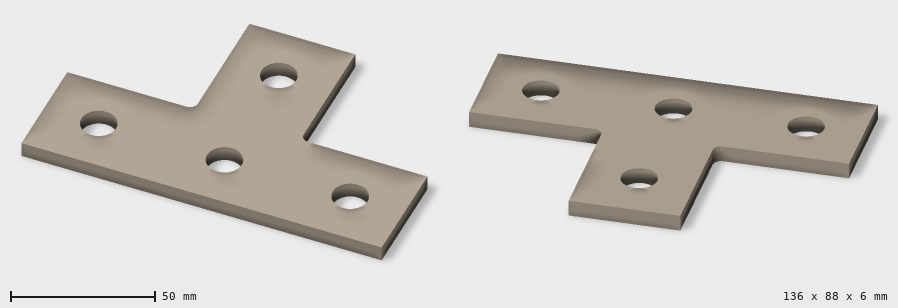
import cadquery as cq

length = 136.0
depth = 88.0
thickness = 6.0
arm_width = 40.0
corner_radius = 3.0
hole_diameter = 13.0
hole_pitch = 47.5

crossbar_center_y = arm_width / 2

crossbar = cq.Workplane("XY").box(length, arm_width, thickness, centered=(True, False, False))
stem = cq.Workplane("XY").box(arm_width, depth, thickness, centered=(True, False, False))
plate = crossbar.union(stem)

inner_corners = cq.selectors.BoxSelector(
    (-arm_width / 2 - corner_radius, arm_width - corner_radius, 0),
    (arm_width / 2 + corner_radius, arm_width + corner_radius, thickness),
)
plate = plate.edges("|Z").edges(inner_corners).fillet(corner_radius)

hole_centers = [
    (-hole_pitch, crossbar_center_y),
    (0, crossbar_center_y),
    (hole_pitch, crossbar_center_y),
    (0, crossbar_center_y + hole_pitch),
]
holes = cq.Workplane("XY").pushPoints(hole_centers).circle(hole_diameter / 2).extrude(thickness)

result = plate.cut(holes)